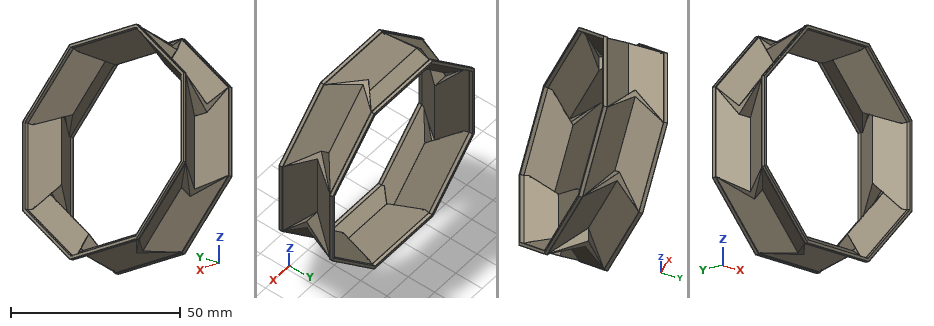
import cadquery as cq
import math

SIDES = 8
RIM_APOTHEM = 33.4
RIM_WALL = 0.95
RIM_WIDTH = 1.2
RING_WIDTH = 20.4
WALL_RECESS = 0.3
SHEET = 0.6
FOLD_DEPTH = 5.15
ARROW_LENGTH = 9.9

side_angle = 360 / SIDES
half_width = RING_WIDTH / 2 - RIM_WIDTH
wall_apothem = RIM_APOTHEM - WALL_RECESS
half_side = wall_apothem * math.tan(math.radians(side_angle / 2))
overrun = 2 * half_side

sheet_inward = SHEET * math.hypot(half_width, FOLD_DEPTH) / half_width
sheet_along = SHEET * math.hypot(half_width, ARROW_LENGTH) / half_width


def octagon(apothem, y_start, y_end):
    """Octagonal prism around the Y axis with flats facing +-X and +-Z."""
    diameter = 2 * apothem / math.cos(math.radians(side_angle / 2))
    return (
        cq.Workplane("XZ", origin=(0, y_start, 0))
        .transformed(rotate=(0, 0, side_angle / 2))
        .polygon(SIDES, diameter)
        .extrude(y_start - y_end)
    )


def octagon_frame(apothem, y_start, y_end):
    """Octagonal frame around the opening shared by the rims and the band."""
    opening = octagon(RIM_APOTHEM - RIM_WALL, y_start, y_end)
    return octagon(apothem, y_start, y_end).cut(opening)


def wedge(inward, along):
    """V-shaped wedge on the top side, its surfaces shifted inward and along the side.

    It runs past the corner at its -X end; the other end is notched to an arrow
    whose walls stand square to the side.
    """
    rim_z = wall_apothem - inward
    profile = (
        cq.Workplane("YZ", origin=(-overrun, 0, 0))
        .polyline([
            (-half_width, RIM_APOTHEM),
            (-half_width, rim_z),
            (0, rim_z - FOLD_DEPTH),
            (half_width, rim_z),
            (half_width, RIM_APOTHEM),
        ])
        .close()
        .extrude(2 * overrun)
    )
    corner_x = half_side + along
    plan = (
        cq.Workplane("XY")
        .polyline([
            (-overrun, -half_width),
            (corner_x, -half_width),
            (corner_x - ARROW_LENGTH, 0),
            (corner_x, half_width),
            (-overrun, half_width),
        ])
        .close()
        .extrude(RIM_APOTHEM)
    )
    return profile.intersect(plan)


def around(shape, index):
    """The top-side shape turned to another side of the octagon."""
    return shape.rotate((0, 0, 0), (0, 1, 0), index * side_angle)


front_rim = octagon_frame(RIM_APOTHEM, -RING_WIDTH / 2, -half_width)
back_rim = octagon_frame(RIM_APOTHEM, half_width, RING_WIDTH / 2)
band = octagon_frame(wall_apothem, -half_width, half_width)
result = front_rim.union(back_rim).union(band)

fold = wedge(sheet_inward, sheet_along).intersect(octagon(wall_apothem, -half_width, half_width))
pocket = wedge(0, 0)
for index in range(SIDES):
    result = result.union(around(fold, index))
for index in range(SIDES):
    result = result.cut(around(pocket, index))